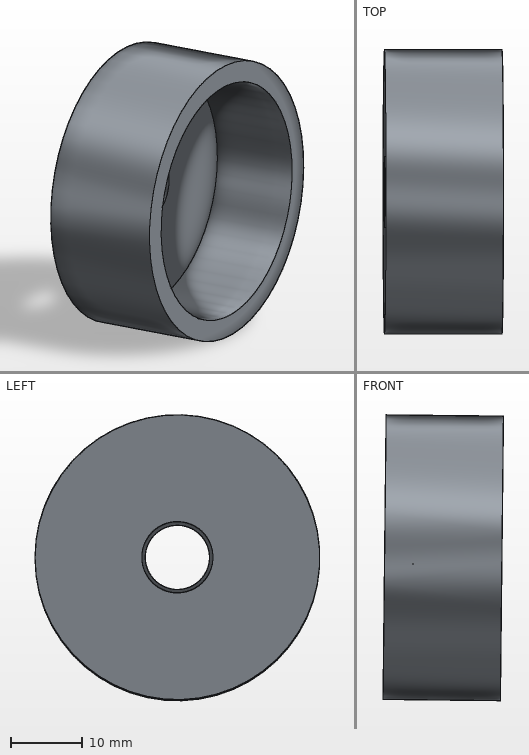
import cadquery as cq

outer_diameter = 40.0
width = 16.5
tilt_angle = 0.62

bore_diameter = 9.0
counterbore_diameter = 10.0
counterbore_depth = 3.0
lip_thickness = 1.0

recess_diameter = 34.0
web_thickness = counterbore_depth + lip_thickness
recess_depth = width - web_thickness


def cylinder_along_x(diameter, start, length):
    """Cylinder on the X axis running from start towards +X."""
    return cq.Workplane("YZ").workplane(offset=start).circle(diameter / 2).extrude(length)


web_face = -width / 2
wheel = cylinder_along_x(outer_diameter, web_face, width)
bore = cylinder_along_x(bore_diameter, web_face, width)
counterbore = cylinder_along_x(counterbore_diameter, web_face, counterbore_depth)
recess = cylinder_along_x(recess_diameter, web_face + web_thickness, recess_depth)

straight_wheel = wheel.cut(bore).cut(counterbore).cut(recess)
result = straight_wheel.rotate((0, 0, 0), (0, 1, 0), tilt_angle)